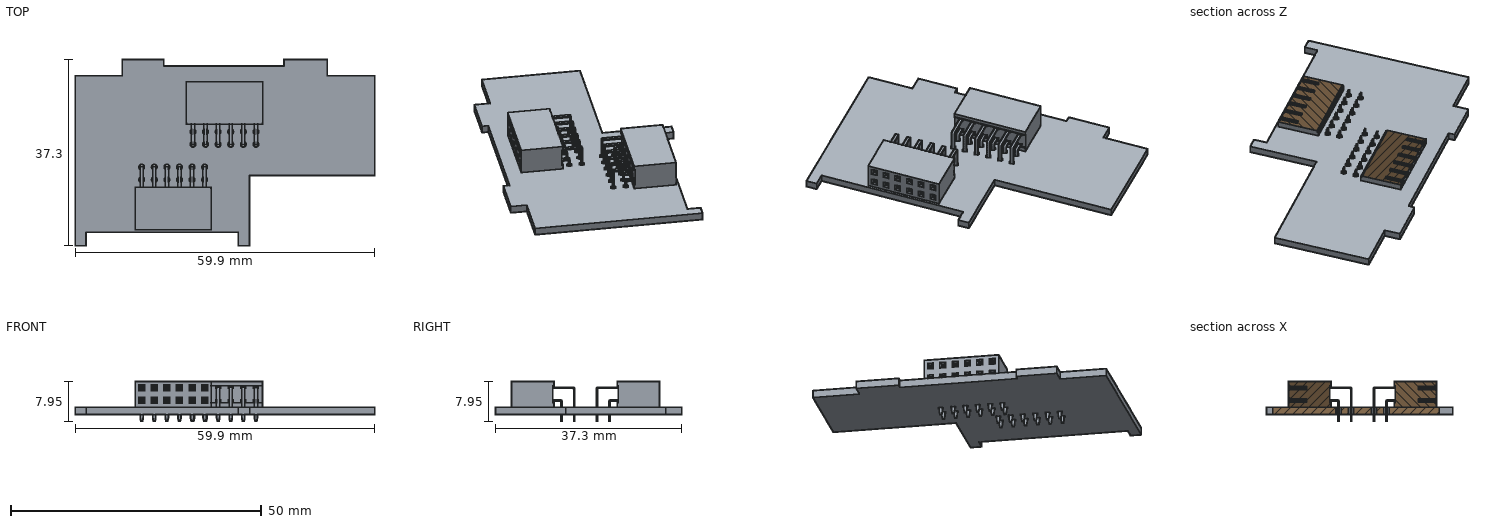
import cadquery as cq

board_length = 59.9
board_width = 37.3
board_thickness = 1.5
front_edge_y = 2.7
left_foot_right_x = 2.2
right_foot_left_x = 32.6
step_x = 34.9
step_y = 14.1
shoulder_y = 34.05
tab_notch_y = 36.0
left_tab_left_x = 9.4
left_tab_right_x = 17.75
right_tab_left_x = 41.7
right_tab_right_x = 50.4

columns = 6
pitch = 2.5
pin_hole_diameter = 1.0

housing_length = 15.2
housing_depth = 8.5
housing_height = 5.15
lip_height = 0.9
recess_depth = 0.25
socket_width = 1.2
socket_throat_width = 0.6
socket_funnel_depth = (socket_width - socket_throat_width) / 2
socket_depth = 3.6

pin_width = 0.65
pin_thickness = 0.25
pin_front_depth = 0.6
pin_bend_radius = 0.35
pin_projection = 1.3
pin_tip_width = 0.35
pin_tip_length = 0.65
pin_slot_width = 1.0
pin_slot_depth = 0.3
near_leg_offset = 1.5
far_leg_offset = near_leg_offset + pitch

lower_row_z = housing_height / 2 - pitch / 2
upper_row_z = housing_height / 2 + pitch / 2
rows = [(lower_row_z, near_leg_offset), (upper_row_z, far_leg_offset)]
column_xs = [(i - (columns - 1) / 2) * pitch for i in range(columns)]

front_connector_xy = (19.6, 3.25)
rear_connector_xy = (29.85, 32.85)
connector_places = [(front_connector_xy, 0), (rear_connector_xy, 180)]


def place_connector(shape, place):
    """Move a shape from the connector's own frame to its place on the board."""
    (x, y), turn = place
    return shape.rotate((0, 0, 0), (0, 0, 1), turn).translate((x, y, board_thickness))


def make_housing():
    """Block with the socket face at Y = 0 and a recess along its rear face."""
    block = cq.Workplane("XY").box(
        housing_length, housing_depth, housing_height, centered=(True, False, False)
    )
    recess = (
        cq.Workplane("XY")
        .box(housing_length, recess_depth, housing_height - 2 * lip_height, centered=(True, False, False))
        .translate((0, housing_depth - recess_depth, lip_height))
    )
    return block.cut(recess)


def make_socket(x, z):
    """Square socket that starts with a funnel at the socket face."""
    funnel = (
        cq.Workplane("XZ", origin=(x, 0, z))
        .rect(socket_width, socket_width)
        .workplane(offset=-socket_funnel_depth)
        .rect(socket_throat_width, socket_throat_width)
        .loft(ruled=True)
    )
    throat = (
        cq.Workplane("XZ", origin=(x, 0, z))
        .rect(socket_throat_width, socket_throat_width)
        .extrude(-socket_depth)
    )
    return funnel.union(throat)


def make_pin_slot(x, z):
    """Shallow slot in the recessed rear face, as high as the pin is thick."""
    return (
        cq.Workplane("XY")
        .box(pin_slot_width, pin_slot_depth, pin_thickness, centered=(True, False, True))
        .translate((x, housing_depth - recess_depth - pin_slot_depth, z))
    )


def make_pin(x, z, leg_offset):
    """Bent strip from inside its socket, through its slot, to the tapered tip below the board."""
    outer_y = housing_depth + leg_offset + pin_thickness / 2
    inner_y = outer_y - pin_thickness
    top_z = z + pin_thickness / 2
    tip_z = -board_thickness - pin_projection
    strip = (
        cq.Workplane("YZ", origin=(x - pin_width / 2, 0, 0))
        .moveTo(pin_front_depth, top_z)
        .lineTo(outer_y - pin_bend_radius, top_z)
        .radiusArc((outer_y, top_z - pin_bend_radius), pin_bend_radius)
        .lineTo(outer_y, tip_z)
        .lineTo(inner_y, tip_z)
        .lineTo(inner_y, top_z - pin_bend_radius)
        .radiusArc((outer_y - pin_bend_radius, top_z - pin_thickness), pin_thickness - pin_bend_radius)
        .lineTo(pin_front_depth, top_z - pin_thickness)
        .close()
        .extrude(pin_width)
    )
    taper_z = tip_z + pin_tip_length
    width_outline = (
        cq.Workplane("XZ", origin=(x, 0, 0))
        .moveTo(-pin_tip_width / 2, tip_z)
        .lineTo(pin_tip_width / 2, tip_z)
        .lineTo(pin_width / 2, taper_z)
        .lineTo(pin_width / 2, top_z)
        .lineTo(-pin_width / 2, top_z)
        .lineTo(-pin_width / 2, taper_z)
        .close()
        .extrude(-(outer_y + pin_width))
    )
    return strip.intersect(width_outline)


def make_connector():
    """Housing with its sockets and the pins that are fixed in it, as one solid."""
    connector = make_housing()
    for z, leg_offset in rows:
        for x in column_xs:
            connector = connector.cut(make_socket(x, z)).cut(make_pin_slot(x, z))
            connector = connector.union(make_pin(x, z, leg_offset))
    return connector


def make_pin_hole_cutters():
    """Cylinders through the board around every leg of one connector."""
    leg_points = [(x, housing_depth + leg_offset) for _, leg_offset in rows for x in column_xs]
    return (
        cq.Workplane("XY", origin=(0, 0, -board_thickness))
        .pushPoints(leg_points)
        .circle(pin_hole_diameter / 2)
        .extrude(board_thickness)
    )


def make_board():
    """Stepped board with two front feet, two rear tabs and the pin holes."""
    outline = [
        (0, 0),
        (left_foot_right_x, 0),
        (left_foot_right_x, front_edge_y),
        (right_foot_left_x, front_edge_y),
        (right_foot_left_x, 0),
        (step_x, 0),
        (step_x, step_y),
        (board_length, step_y),
        (board_length, shoulder_y),
        (right_tab_right_x, shoulder_y),
        (right_tab_right_x, board_width),
        (right_tab_left_x, board_width),
        (right_tab_left_x, tab_notch_y),
        (left_tab_right_x, tab_notch_y),
        (left_tab_right_x, board_width),
        (left_tab_left_x, board_width),
        (left_tab_left_x, shoulder_y),
        (0, shoulder_y),
    ]
    plate = cq.Workplane("XY").polyline(outline).close().extrude(board_thickness)
    for place in connector_places:
        plate = plate.cut(place_connector(make_pin_hole_cutters(), place))
    return plate


board = make_board()
connectors = [place_connector(make_connector(), place) for place in connector_places]
bodies = [body.solids().val() for body in [board, *connectors]]
result = cq.Compound.makeCompound(bodies)